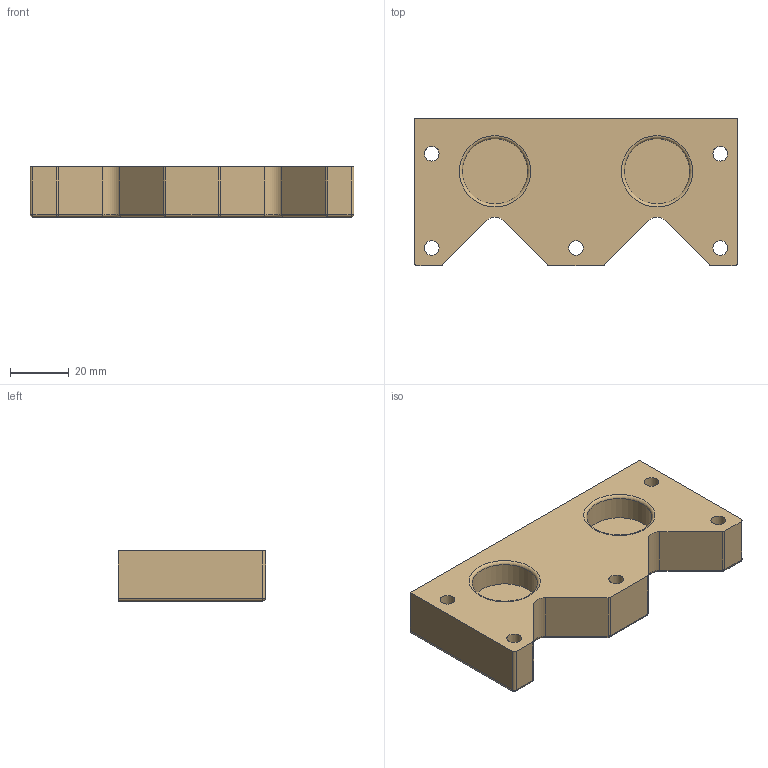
import cadquery as cq
import math

LENGTH = 110.0
WIDTH = 50.0
THICKNESS = 17.0
EDGE_RADIUS = 1.0

HOLE_DIAMETER = 5.0
HOLE_MARGIN = 6.0
REAR_HOLE_SETBACK = 12.0

STATION_X = LENGTH / 4
POCKET_DIAMETER = 22.2
POCKET_SETBACK = 18.0
POCKET_DEPTH = 9.0
POCKET_RIM_RADIUS = 1.0

NOTCH_DEPTH = 16.5
NOTCH_TIP_RADIUS = 4.0

FRONT_Y = -WIDTH / 2
REAR_Y = WIDTH / 2
TOLERANCE = 0.01


def notch_half_width():
    """Half width of the notch where its 45 degree flanks meet the front face."""
    tip_centre_depth = NOTCH_DEPTH - NOTCH_TIP_RADIUS
    return tip_centre_depth + NOTCH_TIP_RADIUS * math.sqrt(2)


def draw_notch(outline, centre_x):
    """Continue the outline around one notch, from its left mouth to its right."""
    half_width = notch_half_width()
    tangent_x = NOTCH_TIP_RADIUS * math.sin(math.pi / 4)
    tangent_y = FRONT_Y + half_width - tangent_x
    return (
        outline.lineTo(centre_x - half_width, FRONT_Y)
        .lineTo(centre_x - tangent_x, tangent_y)
        .threePointArc((centre_x, FRONT_Y + NOTCH_DEPTH), (centre_x + tangent_x, tangent_y))
        .lineTo(centre_x + half_width, FRONT_Y)
    )


def make_plate():
    """Notched plate with its front corners and its bottom rim rounded."""
    outline = cq.Workplane("XY").moveTo(-LENGTH / 2, FRONT_Y)
    for centre_x in (-STATION_X, STATION_X):
        outline = draw_notch(outline, centre_x)
    outline = outline.lineTo(LENGTH / 2, FRONT_Y).lineTo(LENGTH / 2, REAR_Y)
    plate = outline.lineTo(-LENGTH / 2, REAR_Y).close().extrude(THICKNESS)

    front_corners = cq.selectors.BoxSelector(
        (-LENGTH, FRONT_Y - TOLERANCE, 0), (LENGTH, FRONT_Y + TOLERANCE, THICKNESS)
    )
    plate = plate.edges("|Z").edges(front_corners).fillet(EDGE_RADIUS)

    return plate.faces("<Z").edges("not(>Y)").fillet(EDGE_RADIUS)


def cut_holes(plate):
    """Through holes near the four corners and at the front centre."""
    hole_x = LENGTH / 2 - HOLE_MARGIN
    front_hole_y = FRONT_Y + HOLE_MARGIN
    rear_hole_y = REAR_Y - REAR_HOLE_SETBACK
    centres = [(0, front_hole_y)]
    for x in (-hole_x, hole_x):
        centres += [(x, front_hole_y), (x, rear_hole_y)]
    drills = cq.Workplane("XY").pushPoints(centres).circle(HOLE_DIAMETER / 2).extrude(THICKNESS)
    return plate.cut(drills)


def cut_pockets(plate):
    """Flat-bottomed round pockets in the top face, with a rounded rim."""
    wall_radius = POCKET_DIAMETER / 2
    mouth_radius = wall_radius + POCKET_RIM_RADIUS
    floor_z = THICKNESS - POCKET_DEPTH
    pocket_y = REAR_Y - POCKET_SETBACK
    profile = (
        cq.Workplane("XZ")
        .moveTo(0, floor_z)
        .lineTo(wall_radius, floor_z)
        .lineTo(wall_radius, THICKNESS - POCKET_RIM_RADIUS)
        .radiusArc((mouth_radius, THICKNESS), POCKET_RIM_RADIUS)
        .lineTo(0, THICKNESS)
        .close()
    )
    cutter = profile.revolve(360, (0, 0, 0), (0, 1, 0))
    for x in (-STATION_X, STATION_X):
        plate = plate.cut(cutter.translate((x, pocket_y, 0)))
    return plate


result = cut_pockets(cut_holes(make_plate())).solids()